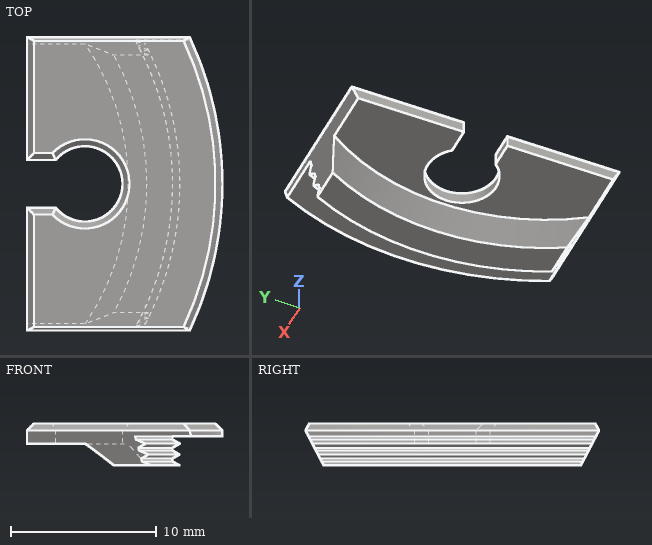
import cadquery as cq
import math

LENGTH = 20.23
HEIGHT = 2.9
ARC_APEX = 13.47
ARC_RADIUS = 23.67
AXIS_X = ARC_APEX - ARC_RADIUS

CHAMFER = 0.49
SIDE_CHAMFER = 0.26
SIDE_TAPER = 1.25
RIM_DEPTH = 0.9
PLATE_DEPTH = 1.42

HOLE_X = 3.99
HOLE_RADIUS = 2.59
SLOT_WIDTH = 3.28

JAW_INNER_TOP = 17.18
JAW_INNER_BOTTOM = 18.45
CREST_RADIUS = 10.54 - AXIS_X
THREAD_DEPTH = 0.5
PITCH = 0.75
FIRST_CREST = 1.4
FLANK_HEIGHT = 0.28


def ring_body():
    """Revolve the plate and toothed jaw section about the arc axis."""
    root_radius = CREST_RADIUS - THREAD_DEPTH
    points = [
        (0, 0),
        (ARC_RADIUS - CHAMFER, 0),
        (ARC_RADIUS, -CHAMFER),
        (ARC_RADIUS, -RIM_DEPTH),
        (root_radius, -RIM_DEPTH),
    ]
    for tooth in range(2):
        crest = FIRST_CREST + tooth * PITCH
        points += [
            (root_radius, -(crest - FLANK_HEIGHT)),
            (CREST_RADIUS, -crest),
            (root_radius, -(crest + FLANK_HEIGHT)),
        ]
    points += [
        (root_radius, -(HEIGHT - FLANK_HEIGHT)),
        (CREST_RADIUS, -HEIGHT),
        (JAW_INNER_BOTTOM, -HEIGHT),
        (JAW_INNER_TOP, -PLATE_DEPTH),
        (0, -PLATE_DEPTH),
    ]
    section = cq.Workplane("XZ").polyline(points).close()
    return section.revolve(360, (0, 0, 0), (0, 1, 0)).translate((AXIS_X, 0, 0))


def side_envelope():
    """Prism with sloped long sides and a chamfered straight edge."""
    half = LENGTH / 2
    outline = [
        (half - SIDE_CHAMFER, 0),
        (half, -CHAMFER),
        (half - SIDE_TAPER, -HEIGHT),
        (-half + SIDE_TAPER, -HEIGHT),
        (-half, -CHAMFER),
        (-half + SIDE_CHAMFER, 0),
    ]
    prism = cq.Workplane("YZ").polyline(outline).close().extrude(ARC_APEX)
    edge_section = [(0, 0), (CHAMFER, 0), (0, -CHAMFER)]
    edge_cut = cq.Workplane("XZ").polyline(edge_section).close().extrude(half, both=True)
    return prism.cut(edge_cut)


def keyhole():
    """Round hole open to the straight edge, with a chamfered top rim."""
    hole = cq.Workplane("XY").center(HOLE_X, 0).circle(HOLE_RADIUS).extrude(-HEIGHT)
    rim = cq.Solid.makeCone(
        HOLE_RADIUS + CHAMFER, HOLE_RADIUS, CHAMFER, cq.Vector(HOLE_X, 0, 0), cq.Vector(0, 0, -1)
    )
    half = SLOT_WIDTH / 2
    slot_outline = [
        (half + CHAMFER, 0),
        (half, -CHAMFER),
        (half, -HEIGHT),
        (-half, -HEIGHT),
        (-half, -CHAMFER),
        (-half - CHAMFER, 0),
    ]
    slot_length = HOLE_X - math.sqrt(HOLE_RADIUS**2 - half**2)
    slot = cq.Workplane("YZ").polyline(slot_outline).close().extrude(slot_length)
    return hole.union(cq.Workplane(rim)).union(slot)


result = ring_body().intersect(side_envelope()).cut(keyhole())